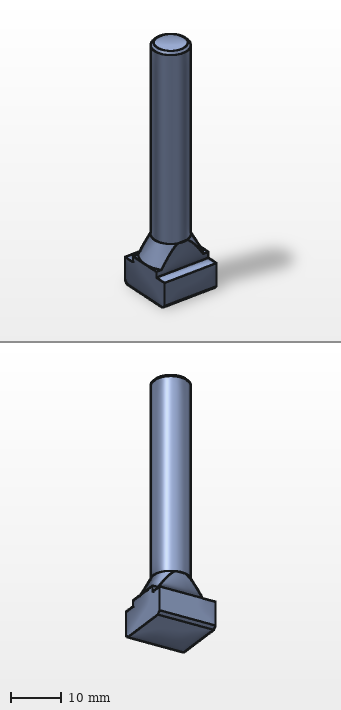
import cadquery as cq

total_height = 56.0
head_side = 13.0

head_height = 6.0
head_chamfer = 0.7
neck_width = 7.7
neck_top = 7.35

shank_diameter = 8.0
shank_start = 12.0
tip_chamfer = 0.6


def make_head():
    """Square head with its two lower edges along Y chamfered."""
    head = cq.Workplane("XY").box(head_side, head_side, head_height, centered=(True, True, False))
    return head.faces("<Z").edges("|Y").chamfer(head_chamfer)


def make_neck():
    """Guide rib along Y, topped by a cone trimmed to the rib width."""
    rib = (
        cq.Workplane("XY").workplane(offset=head_height)
        .rect(neck_width, head_side)
        .extrude(neck_top - head_height)
    )
    cone = (
        cq.Workplane("XY").workplane(offset=neck_top)
        .circle(head_side / 2)
        .workplane(offset=shank_start - neck_top)
        .circle(shank_diameter / 2)
        .loft(ruled=True)
    )
    trim = cq.Workplane("XY").box(neck_width, head_side, shank_start, centered=(True, True, False))
    return rib.union(cone.intersect(trim))


def make_shank():
    """Round shank with a chamfered tip."""
    shank = (
        cq.Workplane("XY").workplane(offset=shank_start)
        .circle(shank_diameter / 2)
        .extrude(total_height - shank_start)
    )
    return shank.faces(">Z").chamfer(tip_chamfer)


result = make_head().union(make_neck()).union(make_shank())